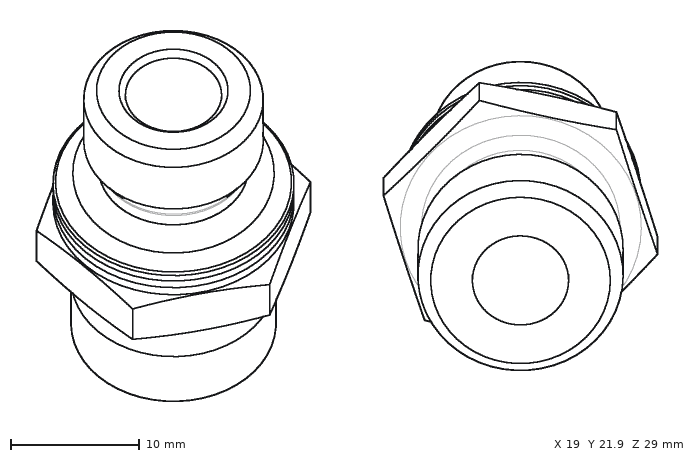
import cadquery as cq
import math

total_height = 29.0
hex_bottom = 11.0
hex_height = 4.5
shoulder_z = 18.0
hex_top = hex_bottom + hex_height

across_flats = 19.0
across_corners = across_flats / math.cos(math.pi / 6)
hex_turn = 30
hex_chamfer_angle = math.radians(15)

bore_radius = 7.5 / 2
bore_chamfer = 0.5

lower_radius = 16.0 / 2
lower_neck_radius = 13.7 / 2
lower_cone_start = 6.4
lower_cone_fillet = 1.0
hex_fillet = 0.9

upper_radius = 14.0 / 2
upper_neck_radius = 11.7 / 2
upper_cone_start = 23.0
upper_cone_fillet = 0.5

stud_chamfer = 1.0
cone_angle = math.radians(30)

collar_radius = 18.8 / 2
collar_chamfer = 0.2
collar_groove_z = (hex_top + shoulder_z) / 2
collar_groove_width = 0.8
collar_groove_depth = 0.3

ring_section_radius = 2.2 / 2
ring_centre_radius = 15.7 / 2 - ring_section_radius
ring_centre_z = shoulder_z + ring_section_radius


def make_cone_fillet(radius, fillet_radius, corner_z, cone_side):
    """Start, middle and end of the arc from a relief cone to its neck; cone_side is -1 below, 1 above."""
    tangent_length = fillet_radius * math.tan(cone_angle / 2)
    centre_r = radius + fillet_radius
    centre_z = corner_z - cone_side * tangent_length
    arc = []
    for turn in (cone_angle, cone_angle / 2, 0):
        point_r = centre_r - fillet_radius * math.cos(turn)
        point_z = centre_z + cone_side * fillet_radius * math.sin(turn)
        arc.append((point_r, point_z))
    return arc


def make_turned_body():
    """Studs, necks and collar, revolved as one profile around Z."""
    lower_corner_z = lower_cone_start + (lower_radius - lower_neck_radius) / math.tan(cone_angle)
    upper_corner_z = upper_cone_start - (upper_radius - upper_neck_radius) / math.tan(cone_angle)
    lower_arc = make_cone_fillet(lower_neck_radius, lower_cone_fillet, lower_corner_z, -1)
    upper_arc = make_cone_fillet(upper_neck_radius, upper_cone_fillet, upper_corner_z, 1)
    fillet_offset = hex_fillet * (1 - math.cos(math.pi / 4))
    groove_half = collar_groove_width / 2

    profile = (
        cq.Workplane("XZ")
        .moveTo(0, 0)
        .lineTo(lower_radius - stud_chamfer, 0)
        .lineTo(lower_radius, stud_chamfer)
        .lineTo(lower_radius, lower_cone_start)
        .lineTo(*lower_arc[0])
        .threePointArc(lower_arc[1], lower_arc[2])
        .lineTo(lower_neck_radius, hex_bottom - hex_fillet)
        .threePointArc(
            (lower_neck_radius + fillet_offset, hex_bottom - fillet_offset),
            (lower_neck_radius + hex_fillet, hex_bottom),
        )
        .lineTo(collar_radius, hex_bottom)
        .lineTo(collar_radius, collar_groove_z - groove_half)
        .threePointArc(
            (collar_radius - collar_groove_depth, collar_groove_z),
            (collar_radius, collar_groove_z + groove_half),
        )
        .lineTo(collar_radius, shoulder_z - collar_chamfer)
        .lineTo(collar_radius - collar_chamfer, shoulder_z)
        .lineTo(upper_neck_radius, shoulder_z)
        .lineTo(*upper_arc[2])
        .threePointArc(upper_arc[1], upper_arc[0])
        .lineTo(upper_radius, upper_cone_start)
        .lineTo(upper_radius, total_height - stud_chamfer)
        .lineTo(upper_radius - stud_chamfer, total_height)
        .lineTo(0, total_height)
        .close()
    )
    return profile.revolve(360, (0, 0), (0, 1))


def make_hexagon():
    """Hexagonal prism whose corners are turned off by a shallow cone at both ends."""
    prism = (
        cq.Workplane("XY", origin=(0, 0, hex_bottom))
        .polygon(6, across_corners)
        .extrude(hex_height)
        .rotate((0, 0, 0), (0, 0, 1), hex_turn)
    )
    corner_radius = across_corners / 2
    corner_drop = (corner_radius - collar_radius) * math.tan(hex_chamfer_angle)
    envelope = (
        cq.Workplane("XZ")
        .moveTo(0, hex_bottom)
        .lineTo(collar_radius, hex_bottom)
        .lineTo(corner_radius, hex_bottom + corner_drop)
        .lineTo(corner_radius, hex_top - corner_drop)
        .lineTo(collar_radius, hex_top)
        .lineTo(0, hex_top)
        .close()
        .revolve(360, (0, 0), (0, 1))
    )
    return prism.intersect(envelope)


def make_bore():
    """Through bore, opened by a chamfer at the upper end."""
    return (
        cq.Workplane("XZ")
        .moveTo(0, 0)
        .lineTo(bore_radius, 0)
        .lineTo(bore_radius, total_height - bore_chamfer)
        .lineTo(bore_radius + bore_chamfer, total_height)
        .lineTo(0, total_height)
        .close()
        .revolve(360, (0, 0), (0, 1))
    )


def make_sealing_ring():
    """Ring of round section around the upper neck."""
    return (
        cq.Workplane("XZ")
        .center(ring_centre_radius, ring_centre_z)
        .circle(ring_section_radius)
        .revolve(360, (-ring_centre_radius, 0), (-ring_centre_radius, 1))
    )


sealing_ring = make_sealing_ring()

fitting = make_turned_body().union(make_hexagon()).cut(make_bore()).cut(sealing_ring)

result = cq.Compound.makeCompound([fitting.val(), sealing_ring.val()])